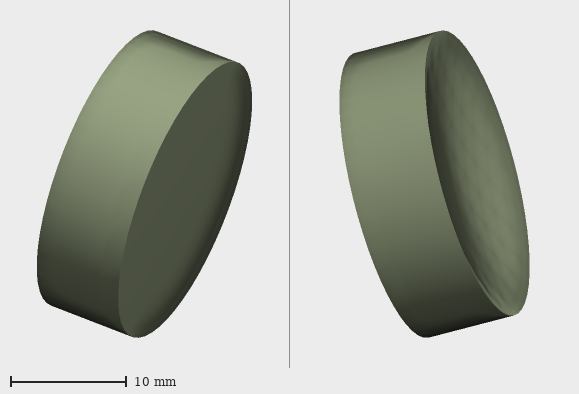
import cadquery as cq

diameter = 25.4
front_edge_thickness = 6.07
back_edge_thickness = 1.83
front_sag = 2.24
back_sag = 0.15

radius = diameter / 2
back_apex_x = front_edge_thickness + back_edge_thickness + back_sag


def disc(start_x, end_x):
    """Round blank along X."""
    return cq.Workplane("YZ", origin=(start_x, 0, 0)).circle(radius).extrude(end_x - start_x)


def ball(apex_x, sag):
    """Ball reaching +X to apex_x, whose cap of height sag is as wide as the lens."""
    ball_radius = (radius**2 + sag**2) / (2 * sag)
    return (
        cq.Workplane("XY")
        .sphere(ball_radius)
        .rotate((0, 0, 0), (0, 0, 1), 180)
        .translate((apex_x - ball_radius, 0, 0))
    )


def make_front_lens():
    """Lens with a concave spherical front and a flat cemented face."""
    return disc(0, front_edge_thickness).cut(ball(front_sag, front_sag))


def make_back_lens():
    """Lens with a flat cemented face and a shallow convex back."""
    return disc(front_edge_thickness, back_apex_x).intersect(ball(back_apex_x, back_sag))


front_lens = make_front_lens()
back_lens = make_back_lens()

result = cq.Compound.makeCompound([front_lens.val(), *back_lens.solids().vals()])